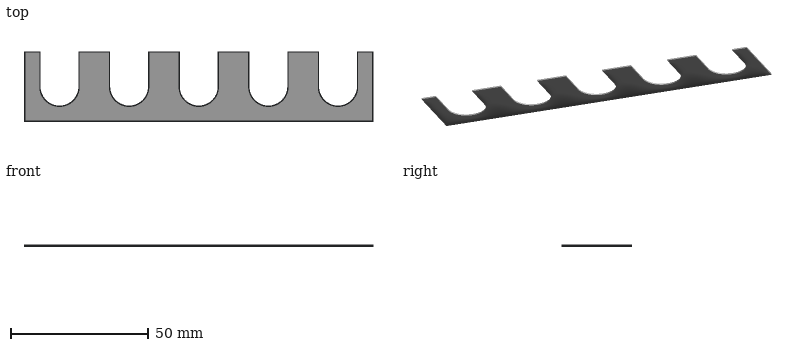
import cadquery as cq

PITCH = 25.4
SLOT_COUNT = 5
SLOT_WIDTH = 14.2
THICKNESS = 0.5

LENGTH = SLOT_COUNT * PITCH
DEPTH = PITCH
SLOT_RADIUS = SLOT_WIDTH / 2
SLOT_CENTER_Y = 0
BACK_Y = DEPTH / 2


def plate():
    """Flat rectangular strip centred in X and Y, resting on Z = 0."""
    return cq.Workplane("XY").box(LENGTH, DEPTH, THICKNESS, centered=(True, True, False))


def slot(center_x):
    """U-shaped through slot, open at the +Y edge with a round inner end."""
    left = center_x - SLOT_RADIUS
    right = center_x + SLOT_RADIUS
    return (
        cq.Workplane("XY")
        .moveTo(left, BACK_Y)
        .lineTo(left, SLOT_CENTER_Y)
        .threePointArc((center_x, SLOT_CENTER_Y - SLOT_RADIUS), (right, SLOT_CENTER_Y))
        .lineTo(right, BACK_Y)
        .close()
        .extrude(THICKNESS)
    )


result = plate()
for index in range(SLOT_COUNT):
    slot_x = (index - (SLOT_COUNT - 1) / 2) * PITCH
    result = result.cut(slot(slot_x))